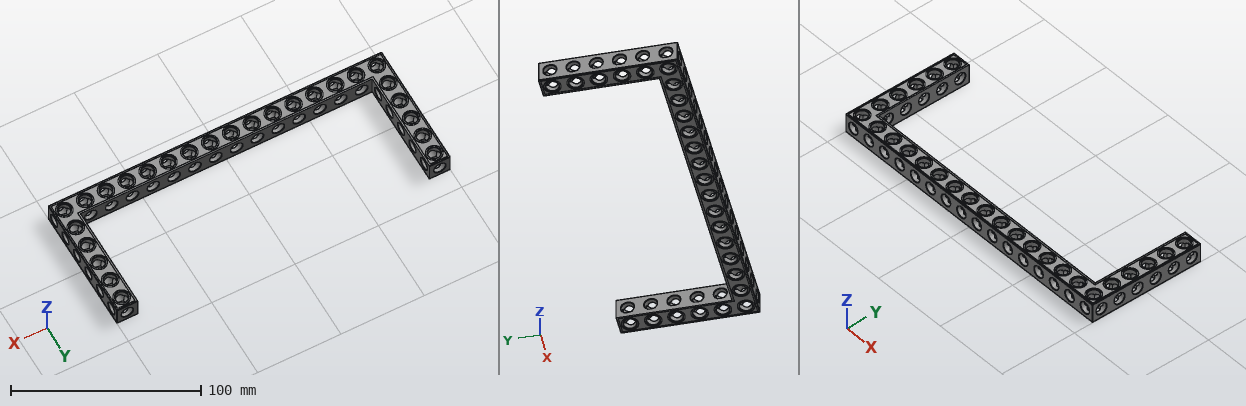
import cadquery as cq

length = 200.0
columns = 16
rows = 6
hole_diameter = 7.0
collar_diameter = 9.2
edge_chamfer = 0.3
panel_depth = 0.2

pitch = length / columns
depth = rows * pitch
span = length - 2 * pitch

rim_width = (collar_diameter - hole_diameter) / 2
mouth_diameter = hole_diameter + 2 * edge_chamfer


def cell_centre(index):
    """Distance from the beam's end to the middle of a grid cell."""
    return (index + 0.5) * pitch


base_cells = [(cell_centre(i), cell_centre(0)) for i in range(columns)]
leg_cells = [
    (cell_centre(i), cell_centre(j)) for i in (0, columns - 1) for j in range(1, rows)
]
plan_holes = base_cells + leg_cells
front_holes = [(cell_centre(i), pitch / 2) for i in range(columns)]
side_holes = [(cell_centre(j), pitch / 2) for j in range(rows)]

inner_front_holes = front_holes[1:-1]
inner_side_holes = side_holes[1:]


def plane_at(name, position):
    """Workplane of the given orientation, moved along its own axis."""
    origins = {
        "XY": (0, 0, position),
        "XZ": (0, position, 0),
        "YZ": (position, 0, 0),
    }
    return cq.Workplane(name, origin=origins[name])


def discs(name, position, centres, diameter, height):
    """Cylinders standing on a plane; a negative height reverses them."""
    return plane_at(name, position).pushPoints(centres).circle(diameter / 2).extrude(height)


def mouths(name, position, centres, direction):
    """45-degree cones that chamfer hole mouths, narrowing along direction (+1 or -1)."""
    return (
        plane_at(name, position)
        .pushPoints(centres)
        .circle(mouth_diameter / 2)
        .extrude(direction * edge_chamfer, taper=45)
    )


def frame():
    """U-shaped beam: outer edges chamfered, edges around the opening left sharp."""
    block = cq.Workplane("XY").box(length, depth, pitch, centered=False)
    opening = cq.Workplane("XY").box(span, depth, pitch, centered=False)
    return block.edges().chamfer(edge_chamfer).cut(opening.translate((pitch, pitch, 0)))


def panel_recess(height, direction):
    """Shallow U-shaped recess inside a rim, leaving a raised collar at every hole."""
    outer_left, outer_right = rim_width, length - rim_width
    inner_left, inner_right = pitch - rim_width, length - pitch + rim_width
    bottom, inner_bottom, top = rim_width, pitch - rim_width, depth - rim_width
    outline = [
        (outer_left, bottom),
        (outer_right, bottom),
        (outer_right, top),
        (inner_right, top),
        (inner_right, inner_bottom),
        (inner_left, inner_bottom),
        (inner_left, top),
        (outer_left, top),
    ]
    recess_height = direction * panel_depth
    recess = plane_at("XY", height).polyline(outline).close().extrude(recess_height)
    return recess.cut(discs("XY", height, plan_holes, collar_diameter, recess_height))


result = frame()

result = result.cut(panel_recess(pitch, -1)).cut(panel_recess(0, 1))

result = result.cut(discs("XY", 0, plan_holes, hole_diameter, pitch))
result = result.cut(discs("XZ", 0, front_holes, hole_diameter, -depth))
result = result.cut(discs("YZ", 0, side_holes, hole_diameter, length))

result = result.cut(mouths("XY", pitch, plan_holes, -1))
result = result.cut(mouths("XY", 0, plan_holes, 1))

leg_end_holes = [front_holes[0], front_holes[-1]]
result = result.cut(mouths("XZ", 0, front_holes, -1))
result = result.cut(mouths("XZ", depth, leg_end_holes, 1))
result = result.cut(mouths("XZ", pitch, inner_front_holes, 1))

result = result.cut(mouths("YZ", 0, side_holes, 1))
result = result.cut(mouths("YZ", length, side_holes, -1))
result = result.cut(mouths("YZ", pitch, inner_side_holes, -1))
result = result.cut(mouths("YZ", length - pitch, inner_side_holes, 1))